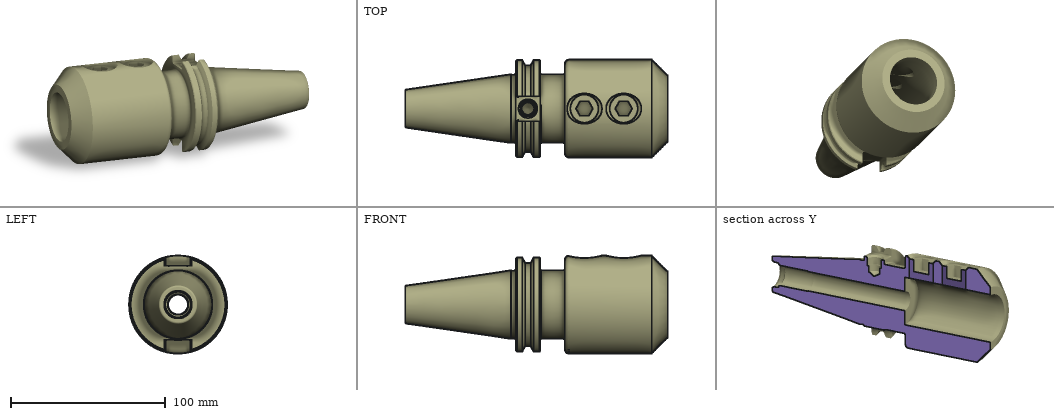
import cadquery as cq
import math


GAUGE_DIA = 44.45
TAPER_RATIO = 7 / 24
SHANK_LENGTH = 68.25
SHANK_END_DIA = GAUGE_DIA - TAPER_RATIO * SHANK_LENGTH
SHANK_END_FILLET = 1.0
COLLAR_DIA = 43.94
COLLAR_FILLET = 0.8
COLLAR_STEP_LENGTH = 0.5

FLANGE_DIA = 63.0
FLANGE_START = 3.18
FLANGE_END = 19.05
FLANGE_FRONT_CHAMFER = 0.5
FLANGE_REAR_CHAMFER = 1.0
GROOVE_CENTER = 11.11
GROOVE_FLOOR_DIA = 56.3
GROOVE_FLOOR_WIDTH = 3.6
GROOVE_SIDE_ANGLE = 30
NECK_FILLET = 0.8

NOSE_FACE = 101.6
BODY_START = 34.92
BODY_DIA = 63.5
BODY_REAR_FILLET = 3.0
NOSE_CHAMFER = 10.6

PILOT_DIA = 16.46
PILOT_DEPTH = 4.5
PILOT_CHAMFER = 0.75
PILOT_CHAMFER_LENGTH = 1.7
THREAD_DIA = 13.39
THREAD_DEPTH = 28.0
PILOT_CONE_LENGTH = 1.3
THROUGH_DIA = 12.75
TOOL_BORE_DIA = 32.0
TOOL_BORE_DEPTH = NOSE_FACE - BODY_START

SLOT_WIDTH = 16.1
SLOT_EDGE_CHAMFER = 0.9
SLOT_FLOOR_FILLET = 0.8
TOP_SLOT_FLOOR = 25.0
BOTTOM_SLOT_FLOOR = 22.8

SLOT_HOLE_DIA = 10.13
SLOT_HOLE_DEPTH = 6.0
SLOT_HOLE_CHAMFER = 1.05
SLOT_DRILL_DIA = 8.0
SLOT_DRILL_DEPTH = 10.0
DRILL_POINT_ANGLE = 118

FRONT_SCREW_SETBACK = 28.575
SCREW_SPACING = 25.4
FRONT_SCREW_X = NOSE_FACE - FRONT_SCREW_SETBACK
SCREW_PLACES = [FRONT_SCREW_X - SCREW_SPACING, FRONT_SCREW_X]
SCREW_DIA = 18.1
SCREW_TOP = 29.4
SCREW_TIP = TOOL_BORE_DIA / 2
SCREW_SINK_ANGLE = 45
HEX_ACROSS_FLATS = 9.525
HEX_DEPTH = 8.0


def revolved(points):
    """Solid of revolution about X from a list of (x, radius) points."""
    return cq.Workplane("XY").polyline(points).close().revolve(360, (0, 0, 0), (1, 0, 0))


def upright_cone(x, z_low, radius_low, z_high, radius_high):
    """Cone or frustum whose axis is parallel to Z, at the given X."""
    profile = [(0, z_low), (radius_low, z_low), (radius_high, z_high), (0, z_high)]
    if radius_low == 0:
        profile.pop(0)
    return (
        cq.Workplane("XZ").polyline(profile).close()
        .revolve(360, (0, 0, 0), (0, 1, 0)).translate((x, 0, 0))
    )


def upright_cylinder(x, z_low, z_high, diameter):
    return cq.Workplane("XY", origin=(x, 0, z_low)).circle(diameter / 2).extrude(z_high - z_low)


def arc_reach(fillet):
    """Distance from each tangent face to the middle of a quarter-round fillet."""
    return fillet * (1 - math.sqrt(0.5))


def holder_blank():
    """Outer turned shape, from the shank end to the nose face."""
    flange_radius = FLANGE_DIA / 2
    floor_radius = GROOVE_FLOOR_DIA / 2
    body_radius = BODY_DIA / 2
    neck_radius = GAUGE_DIA / 2
    collar_radius = COLLAR_DIA / 2
    floor_half = GROOVE_FLOOR_WIDTH / 2
    mouth_half = floor_half + (flange_radius - floor_radius) * math.tan(math.radians(GROOVE_SIDE_ANGLE))
    body_reach = arc_reach(BODY_REAR_FILLET)
    collar_reach = arc_reach(COLLAR_FILLET)
    neck_reach = arc_reach(NECK_FILLET)
    shank_reach = arc_reach(SHANK_END_FILLET)
    shank_end_radius = SHANK_END_DIA / 2
    shank_fillet_end_radius = shank_end_radius + TAPER_RATIO / 2 * SHANK_END_FILLET
    return (
        cq.Workplane("XY")
        .moveTo(-SHANK_LENGTH, 0)
        .lineTo(-SHANK_LENGTH, shank_end_radius - SHANK_END_FILLET)
        .threePointArc(
            (-SHANK_LENGTH + shank_reach, shank_end_radius - shank_reach),
            (-SHANK_LENGTH + SHANK_END_FILLET, shank_fillet_end_radius),
        )
        .lineTo(0, neck_radius)
        .lineTo(COLLAR_STEP_LENGTH, collar_radius)
        .lineTo(FLANGE_START - COLLAR_FILLET, collar_radius)
        .threePointArc(
            (FLANGE_START - collar_reach, collar_radius + collar_reach),
            (FLANGE_START, collar_radius + COLLAR_FILLET),
        )
        .lineTo(FLANGE_START, flange_radius - FLANGE_REAR_CHAMFER)
        .lineTo(FLANGE_START + FLANGE_REAR_CHAMFER, flange_radius)
        .lineTo(GROOVE_CENTER - mouth_half, flange_radius)
        .lineTo(GROOVE_CENTER - floor_half, floor_radius)
        .lineTo(GROOVE_CENTER + floor_half, floor_radius)
        .lineTo(GROOVE_CENTER + mouth_half, flange_radius)
        .lineTo(FLANGE_END - FLANGE_FRONT_CHAMFER, flange_radius)
        .lineTo(FLANGE_END, flange_radius - FLANGE_FRONT_CHAMFER)
        .lineTo(FLANGE_END, neck_radius + NECK_FILLET)
        .threePointArc(
            (FLANGE_END + neck_reach, neck_radius + neck_reach),
            (FLANGE_END + NECK_FILLET, neck_radius),
        )
        .lineTo(BODY_START - NECK_FILLET, neck_radius)
        .threePointArc(
            (BODY_START - neck_reach, neck_radius + neck_reach),
            (BODY_START, neck_radius + NECK_FILLET),
        )
        .lineTo(BODY_START, body_radius - BODY_REAR_FILLET)
        .threePointArc(
            (BODY_START + body_reach, body_radius - body_reach),
            (BODY_START + BODY_REAR_FILLET, body_radius),
        )
        .lineTo(NOSE_FACE - NOSE_CHAMFER, body_radius)
        .lineTo(NOSE_FACE, body_radius - NOSE_CHAMFER)
        .lineTo(NOSE_FACE, 0)
        .close()
        .revolve(360, (0, 0, 0), (1, 0, 0))
    )


def axial_bores():
    """Pilot and thread bore in the shank, through hole and tool bore, as one cutter."""
    rear = -SHANK_LENGTH
    pilot_end = rear + PILOT_DEPTH
    return revolved([
        (rear, 0),
        (rear, PILOT_DIA / 2 + PILOT_CHAMFER),
        (rear + PILOT_CHAMFER_LENGTH, PILOT_DIA / 2),
        (pilot_end, PILOT_DIA / 2),
        (pilot_end + PILOT_CONE_LENGTH, THREAD_DIA / 2),
        (rear + THREAD_DEPTH, THREAD_DIA / 2),
        (rear + THREAD_DEPTH, THROUGH_DIA / 2),
        (NOSE_FACE - TOOL_BORE_DEPTH, THROUGH_DIA / 2),
        (NOSE_FACE - TOOL_BORE_DEPTH, TOOL_BORE_DIA / 2),
        (NOSE_FACE, TOOL_BORE_DIA / 2),
        (NOSE_FACE, 0),
    ])


def drive_slot(floor, side):
    """Slot across the flange rim, widened by a chamfer at its rear face; side is +1 or -1 along Z."""
    half = SLOT_WIDTH / 2
    wide_half = half + SLOT_EDGE_CHAMFER
    outline = [
        (FLANGE_START, -wide_half),
        (FLANGE_START + SLOT_EDGE_CHAMFER, -half),
        (FLANGE_END, -half),
        (FLANGE_END, half),
        (FLANGE_START + SLOT_EDGE_CHAMFER, half),
        (FLANGE_START, wide_half),
    ]
    height = FLANGE_DIA / 2 - floor
    return (
        cq.Workplane("XY", origin=(0, 0, side * floor))
        .polyline(outline).close().extrude(side * height)
        .faces("<Z" if side > 0 else ">Z").edges("|X").fillet(SLOT_FLOOR_FILLET)
    )


def slot_hole():
    """Countersunk, stepped blind hole with a drill point."""
    floor = TOP_SLOT_FLOOR
    drill_end = floor - SLOT_DRILL_DEPTH
    radius = SLOT_HOLE_DIA / 2
    drill_radius = SLOT_DRILL_DIA / 2
    point_length = drill_radius / math.tan(math.radians(DRILL_POINT_ANGLE / 2))
    sink = upright_cone(GROOVE_CENTER, floor - SLOT_HOLE_CHAMFER, radius, floor, radius + SLOT_HOLE_CHAMFER)
    wide = upright_cylinder(GROOVE_CENTER, floor - SLOT_HOLE_DEPTH, floor, SLOT_HOLE_DIA)
    drilled = upright_cylinder(GROOVE_CENTER, drill_end, floor, SLOT_DRILL_DIA)
    point = upright_cone(GROOVE_CENTER, drill_end - point_length, 0, drill_end, drill_radius)
    return wide.union(sink).union(drilled).union(point)


def screw_hole(x):
    """Radial hole into the tool bore, countersunk above the set screw."""
    body_radius = BODY_DIA / 2
    radius = SCREW_DIA / 2
    mouth_radius = radius + (body_radius - SCREW_TOP) * math.tan(math.radians(SCREW_SINK_ANGLE))
    sink = upright_cone(x, SCREW_TOP, radius, body_radius, mouth_radius)
    return upright_cylinder(x, 0, SCREW_TOP, SCREW_DIA).union(sink)


def make_holder():
    holder = holder_blank().cut(axial_bores())
    holder = holder.cut(drive_slot(TOP_SLOT_FLOOR, 1))
    holder = holder.cut(drive_slot(BOTTOM_SLOT_FLOOR, -1))
    holder = holder.cut(slot_hole())
    for x in SCREW_PLACES:
        holder = holder.cut(screw_hole(x))
    return holder


def make_set_screw(x):
    """Flat-ended set screw with a hexagon socket, its corners pointing along X."""
    hex_across_corners = HEX_ACROSS_FLATS / math.cos(math.radians(30))
    socket = (
        cq.Workplane("XY", origin=(x, 0, SCREW_TOP))
        .polygon(6, hex_across_corners).extrude(-HEX_DEPTH)
    )
    return upright_cylinder(x, SCREW_TIP, SCREW_TOP, SCREW_DIA).cut(socket)


holder = make_holder()
set_screws = [make_set_screw(x) for x in SCREW_PLACES]

result = cq.Compound.makeCompound([holder.val(), *[screw.val() for screw in set_screws]])